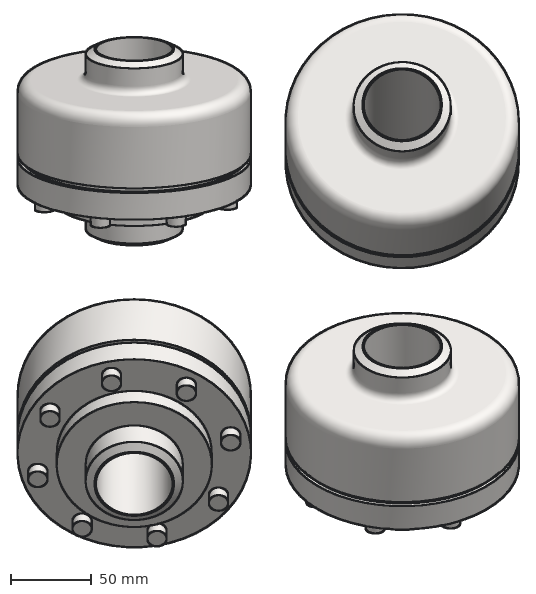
import cadquery as cq

total_height = 120.0
cover_bottom = 20.2
flange_bottom = 31.9
groove_bottom = 49.3
groove_top = 52.3
body_top = 100.0

body_diameter = 145.0
groove_diameter = 139.0
cover_diameter = 96.3
pipe_diameter = 60.3
bore_diameter = 47.7

shoulder_radius = 8.0
neck_radius = 5.0
bevel_height = 3.0
bevel_width = 5.5

bolt_count = 8
bolt_diameter = 12.0
bolt_height = 8.0
bolt_circle_diameter = 123.0


def disc(diameter, bottom, top):
    """Solid cylinder on the Z axis between two heights."""
    return cq.Workplane("XY").workplane(offset=bottom).circle(diameter / 2).extrude(top - bottom)


pipe = disc(pipe_diameter, 0, total_height)
pipe = pipe.faces("<Z").chamfer(bevel_height, bevel_width)
pipe = pipe.faces(">Z").chamfer(bevel_height, bevel_width)

body = disc(body_diameter, groove_top, body_top).faces(">Z").edges().fillet(shoulder_radius)
groove = disc(groove_diameter, groove_bottom, groove_top)
flange = disc(body_diameter, flange_bottom, groove_bottom)
cover = disc(cover_diameter, cover_bottom, flange_bottom)

pipe_radius = pipe_diameter / 2
flare_radius = pipe_radius + neck_radius
flare_top = body_top + neck_radius
flare = (
    cq.Workplane("XZ")
    .moveTo(0, body_top)
    .lineTo(flare_radius, body_top)
    .radiusArc((pipe_radius, flare_top), neck_radius)
    .lineTo(0, flare_top)
    .close()
    .revolve(360, (0, 0), (0, 1))
)

bolts = (
    cq.Workplane("XY")
    .workplane(offset=flange_bottom - bolt_height)
    .polarArray(bolt_circle_diameter / 2, 0, 360, bolt_count)
    .circle(bolt_diameter / 2)
    .extrude(bolt_height)
)

bore = disc(bore_diameter, 0, total_height)

result = pipe.union(body).union(groove).union(flange).union(cover).union(flare).union(bolts).cut(bore)